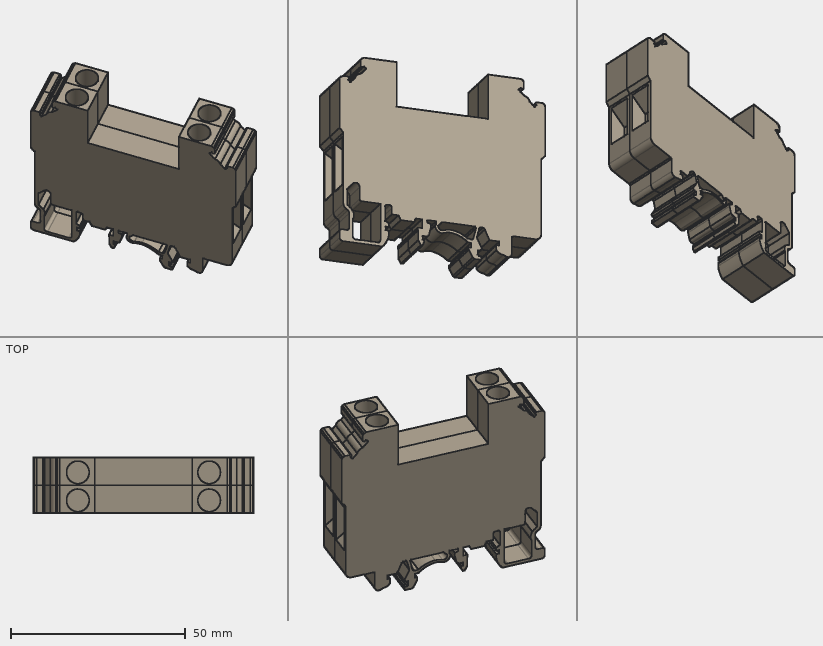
import cadquery as cq
import math

WIDTH = 63.0
HEIGHT = 57.0
BLOCK_THICKNESS = 8.0
BLOCK_COUNT = 2

HALF_WIDTH = WIDTH / 2
SIDE_X = 30.3
SHOULDER_BOTTOM_Z = 34.5
SHOULDER_TOP_Z = 50.5
SHOULDER_STEP_Z = 1.3
TOWER_INNER_X = 14.0
TOWER_OUTER_X = 24.95
CORNER_RISE = 0.8
CORNER_RUN = 0.95
CORNER_BREAK = 0.3
SADDLE_Z = 43.4
UNDERSIDE_Z = 9.95

SCREW_HOLE_DIAMETER = 6.5
SCREW_HOLE_DEPTH = 18.9
SCREW_HOLE_X = 18.8
SCREW_HOLE_OFFSET_Y = -0.3

WIRE_MOUTH_TOP_Z = 32.25
WIRE_MOUTH_BOTTOM_Z = 17.65
WIRE_MOUTH_WIDTH = 6.1
WIRE_MOUTH_OFFSET_Y = -0.05
WIRE_FUNNEL_DEPTH = 5.3
WIRE_FLOOR_TOP_Z = 28.2
WIRE_FLOOR_BOTTOM_Z = 21.75
WIRE_TAPER_BACK = 0.95
WIRE_TAPER_FRONT = 0.3


def trace(path, steps):
    """Add steps to a sketch path: a point is a line, a pair of points is an arc (via, end)."""
    for step in steps:
        if isinstance(step[0], tuple):
            path = path.threePointArc(*step)
        else:
            path = path.lineTo(*step)
    return path


def mirrored(start, steps):
    """Reverse a path and reflect it in X = 0; gives its new start and steps."""
    ends = [start] + [step[1] if isinstance(step[0], tuple) else step for step in steps]
    flipped = []
    for index in range(len(steps) - 1, -1, -1):
        step = steps[index]
        end = (-ends[index][0], ends[index][1])
        if isinstance(step[0], tuple):
            flipped.append(((-step[0][0], step[0][1]), end))
        else:
            flipped.append(end)
    return (-ends[-1][0], ends[-1][1]), flipped


UPPER_START = (-SIDE_X, SHOULDER_BOTTOM_Z - SHOULDER_STEP_Z)
UPPER_STEPS = [
    (-HALF_WIDTH, SHOULDER_BOTTOM_Z),
    (-HALF_WIDTH, SHOULDER_TOP_Z - CORNER_RISE),
    (-HALF_WIDTH + CORNER_BREAK, SHOULDER_TOP_Z - CORNER_BREAK),
    (-HALF_WIDTH + CORNER_RUN, SHOULDER_TOP_Z),
    (-28.8, SHOULDER_TOP_Z),
    (-28.35, 50.1),
    (-28.8, 49.65),
    (-28.2, 48.95),
    (-26.7, 50.45),
    ((-26.1, 51.5), (-25.1, 52.0)),
    (-23.3, 53.7),
    (-24.0, 54.3),
    (-24.5, 53.9),
    (-TOWER_OUTER_X, 54.2),
    (-TOWER_OUTER_X, HEIGHT - CORNER_RISE),
    (-TOWER_OUTER_X + CORNER_BREAK, HEIGHT - CORNER_BREAK),
    (-TOWER_OUTER_X + CORNER_RUN, HEIGHT),
    (-TOWER_INNER_X, HEIGHT),
    (-TOWER_INNER_X, SADDLE_Z),
]

LEDGE_RADIUS = 1.8
LEDGE_ARC_INSET = LEDGE_RADIUS * (1 - math.sqrt(0.5))
RIGHT_LEDGE_Z = 8.55
LOWER_STEPS = [
    (SIDE_X, RIGHT_LEDGE_Z + LEDGE_RADIUS),
    (
        (SIDE_X - LEDGE_ARC_INSET, RIGHT_LEDGE_Z + LEDGE_ARC_INSET),
        (SIDE_X - LEDGE_RADIUS, RIGHT_LEDGE_Z),
    ),
    (21.75, RIGHT_LEDGE_Z),
    (21.2, 8.3),
    (21.2, 3.4),
    ((20.85, 2.3), (19.8, 1.95)),
    (18.5, 2.45),
    ((17.25, 2.85), (16.5, 3.6)),
    (16.5, 5.15),
    (17.4, 5.15),
    (17.4, 6.35),
    (14.35, 6.35),
    (13.0, 9.45),
    (12.5, UNDERSIDE_Z),
    (11.6, UNDERSIDE_Z),
    (11.2, 9.45),
    (10.5, 6.55),
    (12.15, 3.35),
    (11.65, 2.85),
    (10.85, 2.85),
    (10.85, 1.5),
    (11.3, 1.15),
    (11.9, 1.1),
    (11.9, 0.0),
    (9.75, 0.0),
    (9.25, 0.4),
    (8.05, 2.6),
    (8.05, 3.35),
    (8.8, 3.4),
    (8.8, 4.7),
    (7.7, 4.85),
    ((4.8, 6.55), (2.6, 7.05)),
    ((1.25, 6.9), (0.0, 6.55)),
    ((-1.65, 7.1), (-2.2, 8.55)),
    (-1.9, 9.1),
    (-1.9, UNDERSIDE_Z),
    (-4.55, UNDERSIDE_Z),
    ((-4.65, 9.45), (-4.3, 9.1)),
    (-3.5, 8.9),
    (-3.5, 7.9),
    (-4.15, 5.4),
    ((-4.55, 5.05), (-5.15, 4.9)),
    (-6.1, 4.9),
    (-6.1, 3.85),
    (-5.55, 3.7),
    (-5.55, 3.1),
    (-6.05, 2.0),
    (-6.6, 2.0),
    (-7.45, 3.4),
    (-7.45, 6.4),
    (-7.6, 6.6),
    (-7.5, 7.25),
    (-6.25, 7.25),
    (-6.25, UNDERSIDE_Z),
    (-8.05, UNDERSIDE_Z),
    (-8.6, 8.8),
    (-12.7, 8.8),
    (-13.5, 10.2),
    (-15.5, 10.2),
    (-15.5, 12.2),
    ((-15.7, 12.7), (-16.2, 13.0)),
    (-17.15, 13.0),
    (-17.6, 12.5),
    (-17.6, 8.0),
    (-16.45, 7.4),
    (-16.45, 6.25),
    (-17.4, 6.25),
    (-17.4, 5.1),
    (-16.45, 5.1),
    (-16.45, 4.05),
    ((-16.95, 1.95), (-18.35, 0.0)),
    (-30.5, 0.0),
    ((-31.2, 0.3), (-HALF_WIDTH, 1.0)),
    (-HALF_WIDTH, 2.9),
    ((-31.3, 3.4), (-30.8, 3.6)),
    (-29.4, 3.6),
    ((-28.8, 3.85), (-28.55, 4.5)),
    (-28.55, 8.95),
    ((-28.7, 9.4), (-29.05, 9.7)),
    (-29.7, 10.15),
    ((-30.1, 10.7), (-SIDE_X, 11.5)),
]

FOOT_OPENING_START = (-29.1, 16.1)
FOOT_OPENING_STEPS = [
    (-27.2, 18.2),
    ((-26.1, 18.35), (-25.4, 17.25)),
    (-25.4, 13.7),
    ((-25.2, 13.15), (-24.7, 13.0)),
    (-18.95, 13.0),
    (-18.95, 2.0),
    ((-19.2, 1.3), (-19.9, 1.1)),
    (-26.4, 1.1),
    ((-27.15, 1.3), (-27.4, 2.1)),
    (-27.4, 7.2),
    (-27.15, 7.55),
    ((-27.15, 8.8), (-27.6, 10.0)),
    (-29.1, 11.35),
]

SPRING_OPENING_START = (-0.05, UNDERSIDE_Z)
SPRING_OPENING_STEPS = [
    (9.95, UNDERSIDE_Z),
    (10.3, 9.45),
    (9.6, 6.7),
    ((9.4, 6.2), (8.95, 5.85)),
    (7.75, 6.0),
    ((5.2, 7.4), (2.6, 7.9)),
    ((1.4, 7.75), (0.25, 7.45)),
    ((-0.9, 7.7), (-1.25, 8.7)),
]


def block_profile(y):
    """Solid side profile of one block, its +Y face at y."""
    plane = cq.Workplane("XZ", origin=(0, y, 0))
    right_start, right_steps = mirrored(UPPER_START, UPPER_STEPS)
    path = trace(plane.moveTo(*UPPER_START), UPPER_STEPS)
    path = trace(path, [right_start] + right_steps + LOWER_STEPS)
    body = path.close().extrude(BLOCK_THICKNESS)
    for start, steps in (
        (FOOT_OPENING_START, FOOT_OPENING_STEPS),
        (SPRING_OPENING_START, SPRING_OPENING_STEPS),
    ):
        opening = trace(plane.moveTo(*start), steps).close().extrude(BLOCK_THICKNESS)
        body = body.cut(opening)
    return body


def screw_hole(x, y):
    """Round hole going down from a tower top."""
    top = cq.Workplane("XY", origin=(x, y, HEIGHT))
    return top.circle(SCREW_HOLE_DIAMETER / 2).extrude(-SCREW_HOLE_DEPTH)


def rectangle_wire(x, front, back, bottom, top):
    """Closed rectangle in the plane X = x."""
    corners = [(front, bottom), (back, bottom), (back, top), (front, top)]
    return cq.Wire.makePolygon([cq.Vector(x, y, z) for y, z in corners], close=True)


def wire_funnel(side, y):
    """Tapered wire entry in the -X (side = -1) or +X (side = 1) wall."""
    front = y - WIRE_MOUTH_WIDTH / 2
    back = y + WIRE_MOUTH_WIDTH / 2
    mouth = rectangle_wire(side * SIDE_X, front, back, WIRE_MOUTH_BOTTOM_Z, WIRE_MOUTH_TOP_Z)
    floor = rectangle_wire(
        side * (SIDE_X - WIRE_FUNNEL_DEPTH),
        front + WIRE_TAPER_FRONT,
        back - WIRE_TAPER_BACK,
        WIRE_FLOOR_BOTTOM_Z,
        WIRE_FLOOR_TOP_Z,
    )
    return cq.Workplane(cq.Solid.makeLoft([mouth, floor], ruled=True))


def terminal_block(y_middle):
    """One complete block centred on y_middle, with a screw hole and a wire entry at each end."""
    body = block_profile(y_middle + BLOCK_THICKNESS / 2)
    for side in (-1, 1):
        body = body.cut(screw_hole(side * SCREW_HOLE_X, y_middle + SCREW_HOLE_OFFSET_Y))
        body = body.cut(wire_funnel(side, y_middle + WIRE_MOUTH_OFFSET_Y))
    return body


blocks = []
for index in range(BLOCK_COUNT):
    y_middle = (index - (BLOCK_COUNT - 1) / 2) * BLOCK_THICKNESS
    blocks.append(terminal_block(y_middle))

result = cq.Compound.makeCompound([block.solids().val() for block in blocks])